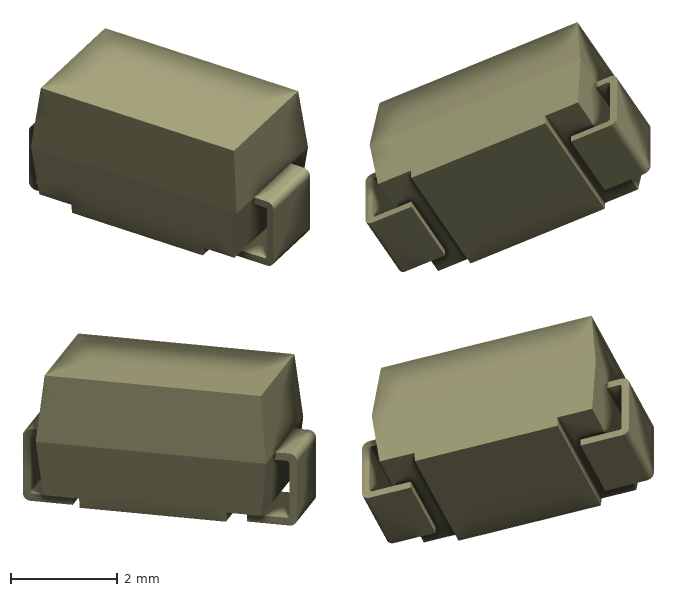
import cadquery as cq
import math

overall_length = 5.36
overall_width = 2.65
overall_height = 2.74

lead_thickness = 0.15
lead_width = 1.35
lead_foot_length = 0.975
bend_outer_radius = 0.15
bend_inner_radius = 0.055

housing_length = 4.495
draft_angle = 6.0
housing_bottom = lead_thickness
housing_half_height = (overall_height - housing_bottom) / 2
parting_height = housing_bottom + housing_half_height
draft_slope = math.tan(math.radians(draft_angle))
draft_inset = housing_half_height * draft_slope

pad_length = 2.86
pad_height = 0.195

band_width = 0.28
band_depth = 0.025
band_margin = 0.15
top_length = housing_length - 2 * draft_inset
top_width = overall_width - 2 * draft_inset
band_length = top_width - 2 * band_margin
band_center_x = -top_length / 2 + band_margin + band_width / 2


def make_band():
    """Flat bar whose upper face is flush with the top of the housing."""
    return (
        cq.Workplane("XY", origin=(band_center_x, 0, overall_height - band_depth))
        .rect(band_width, band_length)
        .extrude(band_depth)
    )


def make_housing_half(direction):
    """Half of the housing, tapering away from the parting plane: +1 is upward, -1 downward."""
    return (
        cq.Workplane("XY", origin=(0, 0, parting_height))
        .rect(housing_length, overall_width)
        .extrude(direction * housing_half_height, taper=draft_angle)
    )


def make_end_step(side):
    """Block removed beneath one end of the housing, across its full width."""
    step_length = (housing_length - pad_length) / 2
    step_center_x = side * (pad_length + step_length) / 2
    return (
        cq.Workplane("XY", origin=(step_center_x, 0, housing_bottom))
        .rect(step_length, overall_width)
        .extrude(pad_height)
    )


def make_housing():
    """Tapered moulding with a central pad below and a recess for the band above."""
    body = make_housing_half(1).union(make_housing_half(-1))
    for side in (-1, 1):
        body = body.cut(make_end_step(side))
    return body.cut(make_band())


def round_bends(strip, face_x, radius):
    """Round the two edges across the strip that border its upright face at face_x."""
    half_span = lead_thickness / 10
    upright_face = cq.selectors.BoxSelector(
        (face_x - half_span, -lead_width, -overall_height),
        (face_x + half_span, lead_width, overall_height),
    )
    return strip.edges("|Y").edges(upright_face).fillet(radius)


def make_lead(side):
    """C-shaped lead whose upper end butts against the sloping end wall of the housing."""
    outer_x = side * overall_length / 2
    inner_x = outer_x - side * lead_thickness
    foot_tip_x = outer_x - side * lead_foot_length
    arm_top_x = side * housing_length / 2
    arm_underside_x = arm_top_x - side * lead_thickness * draft_slope
    arm_underside = parting_height - lead_thickness

    strip = (
        cq.Workplane("XZ")
        .moveTo(arm_top_x, parting_height)
        .lineTo(outer_x, parting_height)
        .lineTo(outer_x, 0)
        .lineTo(foot_tip_x, 0)
        .lineTo(foot_tip_x, lead_thickness)
        .lineTo(inner_x, lead_thickness)
        .lineTo(inner_x, arm_underside)
        .lineTo(arm_underside_x, arm_underside)
        .close()
        .extrude(lead_width / 2, both=True)
    )

    strip = round_bends(strip, outer_x, bend_outer_radius)
    return round_bends(strip, inner_x, bend_inner_radius)


housing = make_housing()
band = make_band()
leads = [make_lead(side) for side in (-1, 1)]

result = cq.Compound.makeCompound([
    housing.solids().val(),
    band.val(),
    *[lead.solids().val() for lead in leads],
])